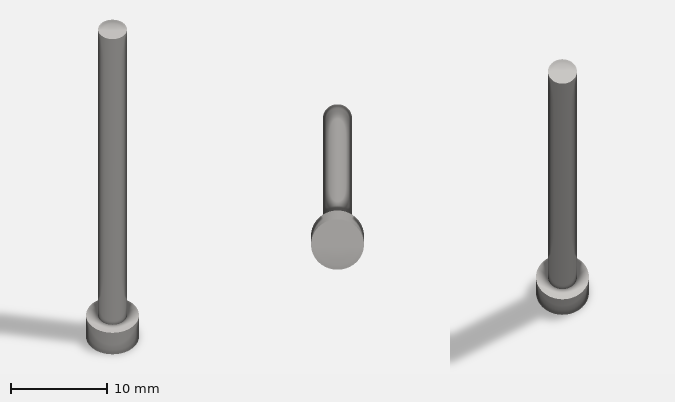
import cadquery as cq

total_length = 43.0
head_diameter = 5.5
head_height = 3.0
shank_diameter = 3.0
shank_length = total_length - head_height

head = cq.Workplane("XY").circle(head_diameter / 2).extrude(head_height)

result = head.faces(">Z").workplane().circle(shank_diameter / 2).extrude(shank_length)